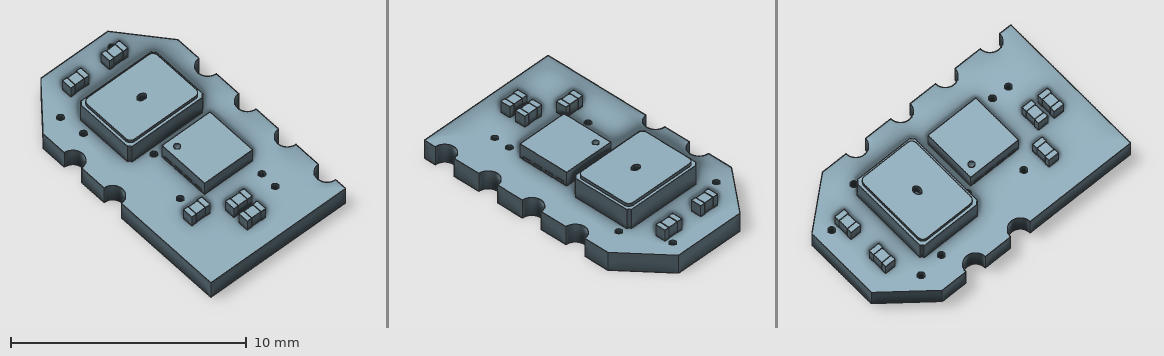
import cadquery as cq

BOARD_LENGTH = 13.01
BOARD_WIDTH = 7.64
BOARD_THICKNESS = 1.0
NOSE_LENGTH = 2.31
NOSE_WIDTH = 3.8

NOTCH_RADIUS = 0.55
NOTCH_PITCH = 2.54
FIRST_NOTCH_X = -2.3
BACK_NOTCH_COUNT = 4
FRONT_NOTCH_COUNT = 2

VIA_DIAMETER = 0.33
VIA_CENTRES = [
    (-5.76, 1.47),
    (-3.58, 2.50),
    (3.56, 1.69),
    (4.44, 1.66),
    (-0.27, -1.03),
    (2.25, -1.78),
    (-3.09, -2.52),
    (-4.38, -2.68),
]

CAN_X = -2.21
CAN_LENGTH = 3.27
CAN_WIDTH = 4.27
CAN_HEIGHT = 1.05
CAN_CORNER_RADIUS = 0.13
LID_STEP = 0.14
LID_HEIGHT = 0.16
LID_CORNER_RADIUS = 0.27
PORT_LENGTH = 0.34
PORT_WIDTH = 0.46
PORT_DEPTH = 0.5

CHIP_X = 1.415
CHIP_Y = 0.5
CHIP_SIDE = 2.72
CHIP_HEIGHT = 0.76
CONTACT_COUNT = 4
CONTACT_PITCH = 0.65
CONTACT_WIDTH = 0.4
CONTACT_HEIGHT = 0.16
CONTACT_PROUD = 0.01
DIMPLE_INSET = 0.455
DIMPLE_RADIUS = 0.15

PASSIVE_LENGTH = 1.04
PASSIVE_WIDTH = 0.54
PASSIVE_HEIGHT = 0.6
TERMINAL_LENGTH = 0.26
TERMINAL_PROUD = 0.02
PASSIVE_CENTRES = [
    (-5.18, 1.10),
    (-5.18, -1.10),
    (4.26, -0.24),
    (5.14, -0.26),
    (3.41, -1.87),
]


def block(length, width, height, x, y, z=0):
    """Box centred on (x, y) and standing on height z."""
    return cq.Workplane("XY").box(length, width, height, centered=(True, True, False)).translate((x, y, z))


def make_board():
    right = BOARD_LENGTH / 2
    back = BOARD_WIDTH / 2
    nose = NOSE_WIDTH / 2
    shoulder = NOSE_LENGTH - right
    board = (
        cq.Workplane("XY")
        .moveTo(right, -back)
        .lineTo(right, back)
        .lineTo(shoulder, back)
        .lineTo(-right, nose)
        .lineTo(-right, -nose)
        .lineTo(shoulder, -back)
        .close()
        .extrude(-BOARD_THICKNESS)
    )
    notches = [(FIRST_NOTCH_X + i * NOTCH_PITCH, back) for i in range(BACK_NOTCH_COUNT)]
    notches += [(FIRST_NOTCH_X + i * NOTCH_PITCH, -back) for i in range(FRONT_NOTCH_COUNT)]
    notch_cutters = cq.Workplane("XY").pushPoints(notches).circle(NOTCH_RADIUS).extrude(-BOARD_THICKNESS)
    vias = cq.Workplane("XY").pushPoints(VIA_CENTRES).circle(VIA_DIAMETER / 2).extrude(-BOARD_THICKNESS)
    return board.cut(notch_cutters).cut(vias)


def make_sensor_can():
    corner_scoops = (
        cq.Workplane("XY")
        .rect(CAN_LENGTH, CAN_WIDTH, forConstruction=True)
        .vertices()
        .circle(CAN_CORNER_RADIUS)
        .extrude(CAN_HEIGHT)
    )
    base = block(CAN_LENGTH, CAN_WIDTH, CAN_HEIGHT, 0, 0).cut(corner_scoops)
    lid = block(CAN_LENGTH - 2 * LID_STEP, CAN_WIDTH - 2 * LID_STEP, LID_HEIGHT, 0, 0, CAN_HEIGHT)
    lid = lid.edges("|Z").fillet(LID_CORNER_RADIUS)
    port = (
        cq.Workplane("XY")
        .workplane(offset=CAN_HEIGHT + LID_HEIGHT)
        .ellipse(PORT_LENGTH / 2, PORT_WIDTH / 2)
        .extrude(-PORT_DEPTH)
    )
    return base.union(lid).cut(port).translate((CAN_X, 0, 0))


def make_chip():
    chip = block(CHIP_SIDE, CHIP_SIDE, CHIP_HEIGHT, CHIP_X, CHIP_Y)
    for i in range(CONTACT_COUNT):
        x = CHIP_X + (i - (CONTACT_COUNT - 1) / 2) * CONTACT_PITCH
        bar_length = CHIP_SIDE + 2 * CONTACT_PROUD
        chip = chip.union(block(CONTACT_WIDTH, bar_length, CONTACT_HEIGHT, x, CHIP_Y))
    dimple_offset = CHIP_SIDE / 2 - DIMPLE_INSET
    dimple_centre = (CHIP_X - dimple_offset, CHIP_Y - dimple_offset, CHIP_HEIGHT)
    return chip.cut(cq.Workplane("XY").sphere(DIMPLE_RADIUS).translate(dimple_centre))


def make_passive(x, y):
    body_width = PASSIVE_WIDTH - 2 * TERMINAL_PROUD
    body_height = PASSIVE_HEIGHT - TERMINAL_PROUD
    terminal_offset = (PASSIVE_LENGTH - TERMINAL_LENGTH) / 2
    passive = block(body_width, PASSIVE_LENGTH - TERMINAL_LENGTH, body_height, x, y)
    for side in (-1, 1):
        terminal = block(PASSIVE_WIDTH, TERMINAL_LENGTH, PASSIVE_HEIGHT, x, y + side * terminal_offset)
        passive = passive.union(terminal)
    return passive


result = make_board().union(make_sensor_can()).union(make_chip())
for passive_x, passive_y in PASSIVE_CENTRES:
    result = result.union(make_passive(passive_x, passive_y))